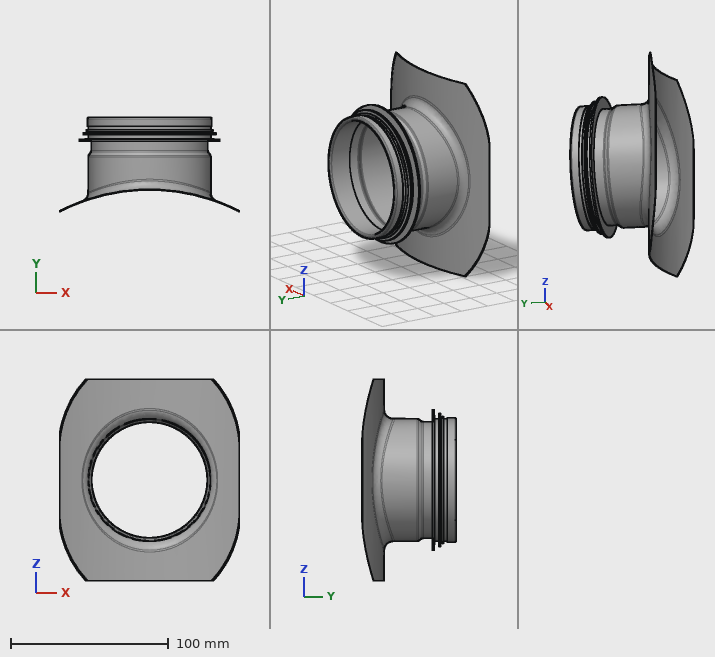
import cadquery as cq
import math

plate_width = 114.0
plate_height = 128.0
saddle_radius = 124.5
wall = 0.5
side_straight = 59.9
end_straight = 80.9
corner_mid = (50.8, 49.0)
bevel_depth = 0.4
bevel_width = 0.9

body_radius = 78.1 / 2
neck_radius = 74.2 / 2
hem_radius = 79.1 / 2
spigot_end = 60.0
body_end = 35.1
neck_start = 38.9
shoulder_bend_length = 0.9
shoulder_bend_depth = 0.3
hem_start = 54.1
hem_round = 1.09
outer_flare = 5.4
inner_flare = 7.0

seal_start = 44.8
seal_radius = body_radius
flange_radius = 89.5 / 2
flange_thickness = 1.2
flange_root_thickness = 1.5
large_lip_radius = 84.5 / 2
large_lip_start = 48.9
large_lip_thickness = 1.3
large_lip_chamfer = 0.3
small_lip_radius = 80.6 / 2
small_lip_middle = 51.5
small_lip_thickness = 1.3

half_width = plate_width / 2
half_height = plate_height / 2
bend_axis_y = -math.sqrt(saddle_radius**2 - half_width**2)

hem_base = spigot_end - hem_round
hem_inner_round = hem_round - wall
bore_radius = neck_radius - wall


def revolve_about_y(profile):
    return profile.close().revolve(360, (0, 0, 0), (0, 1, 0))


def flared_spigot(offset, flare):
    """Solid bend cylinder joined to a solid stepped spigot, with a flare between them.

    The spigot surface lies inward of the sheet's outer face by the offset.
    """
    bend = (
        cq.Workplane("XY")
        .center(0, bend_axis_y)
        .circle(saddle_radius + wall - offset)
        .extrude(half_height + wall, both=True)
    )
    spigot = revolve_about_y(
        cq.Workplane("XY")
        .moveTo(0, bend_axis_y / 2)
        .lineTo(body_radius - offset, bend_axis_y / 2)
        .lineTo(body_radius - offset, body_end)
        .tangentArcPoint(
            (body_radius - shoulder_bend_depth - offset, body_end + shoulder_bend_length),
            relative=False,
        )
        .lineTo(neck_radius + shoulder_bend_depth - offset, neck_start - shoulder_bend_length)
        .tangentArcPoint((neck_radius - offset, neck_start), relative=False)
        .lineTo(neck_radius - offset, hem_base)
        .lineTo(0, hem_base)
    )
    joint_box = cq.selectors.BoxSelector(
        (-body_radius - wall, 0, -body_radius - wall),
        (body_radius + wall, body_end - wall, body_radius + wall),
    )
    joined = bend.union(spigot)
    joint = joined.edges(joint_box).edges("not %LINE")
    return joined.newObject(joint.vals()).fillet(flare)


def plate_outline():
    """Prism along Y with the plate's front outline: straight sides and four bowed corners."""
    x_end, z_side = end_straight / 2, side_straight / 2
    x_mid, z_mid = corner_mid
    return (
        cq.Workplane("XZ")
        .moveTo(half_width, -z_side)
        .lineTo(half_width, z_side)
        .threePointArc((x_mid, z_mid), (x_end, half_height))
        .lineTo(-x_end, half_height)
        .threePointArc((-x_mid, z_mid), (-half_width, z_side))
        .lineTo(-half_width, -z_side)
        .threePointArc((-x_mid, -z_mid), (-x_end, -half_height))
        .lineTo(x_end, -half_height)
        .threePointArc((x_mid, -z_mid), (half_width, -z_side))
        .close()
        .extrude(-spigot_end)
    )


def bevel_corners(saddle):
    """Bevel the concave-side edge of each bowed plate corner."""
    x_mid, z_mid = corner_mid
    y_mid = bend_axis_y + math.sqrt(saddle_radius**2 - x_mid**2)
    on_concave_face = cq.Vertex.makeVertex(0, bend_axis_y + saddle_radius, half_height - wall)
    concave_face = min(saddle.faces("%CYLINDER").vals(), key=on_concave_face.distance)
    edges = []
    for side in (-1, 1):
        for end in (-1, 1):
            middle = cq.Vertex.makeVertex(side * x_mid, y_mid, end * z_mid)
            edges.append(min(concave_face.Edges(), key=middle.distance))
    return saddle.newObject([saddle.solids().val().chamfer(bevel_depth, bevel_width, edges)])


def make_hem():
    """Spigot end folded outward and back over the seal."""
    return revolve_about_y(
        cq.Workplane("XY")
        .moveTo(bore_radius, hem_base)
        .radiusArc((bore_radius + hem_round, spigot_end), hem_round)
        .lineTo(hem_radius - hem_round, spigot_end)
        .radiusArc((hem_radius, hem_base), hem_round)
        .lineTo(hem_radius, hem_start)
        .lineTo(seal_radius, hem_start)
        .lineTo(seal_radius, hem_base)
        .radiusArc((hem_radius - hem_round, spigot_end - wall), -hem_inner_round)
        .lineTo(bore_radius + hem_round, spigot_end - wall)
        .radiusArc((neck_radius, hem_base), -hem_inner_round)
    )


def make_saddle():
    sheet = flared_spigot(0, outer_flare).cut(flared_spigot(wall, inner_flare))
    sheet = sheet.intersect(plate_outline())
    return bevel_corners(sheet).union(make_hem())


def make_seal():
    """Band around the neck with a stop flange and two sealing lips."""
    half_lip = small_lip_thickness / 2
    large_lip_end = large_lip_start + large_lip_thickness
    return revolve_about_y(
        cq.Workplane("XY")
        .moveTo(neck_radius, seal_start)
        .lineTo(flange_radius, seal_start)
        .lineTo(flange_radius, seal_start + flange_thickness)
        .lineTo(seal_radius, seal_start + flange_root_thickness)
        .lineTo(seal_radius, large_lip_start)
        .lineTo(large_lip_radius - large_lip_chamfer, large_lip_start)
        .lineTo(large_lip_radius, large_lip_start + large_lip_chamfer)
        .lineTo(large_lip_radius, large_lip_end - large_lip_chamfer)
        .lineTo(large_lip_radius - large_lip_chamfer, large_lip_end)
        .lineTo(seal_radius, large_lip_end)
        .lineTo(seal_radius, small_lip_middle - half_lip)
        .lineTo(small_lip_radius - half_lip, small_lip_middle - half_lip)
        .threePointArc(
            (small_lip_radius, small_lip_middle),
            (small_lip_radius - half_lip, small_lip_middle + half_lip),
        )
        .lineTo(seal_radius, small_lip_middle + half_lip)
        .lineTo(seal_radius, hem_base)
        .radiusArc((hem_radius - hem_round, spigot_end - wall), -hem_inner_round)
        .lineTo(bore_radius + hem_round, spigot_end - wall)
        .radiusArc((neck_radius, hem_base), -hem_inner_round)
    )


saddle = make_saddle()
seal = make_seal()
result = cq.Compound.makeCompound([saddle.solids().val(), seal.val()])